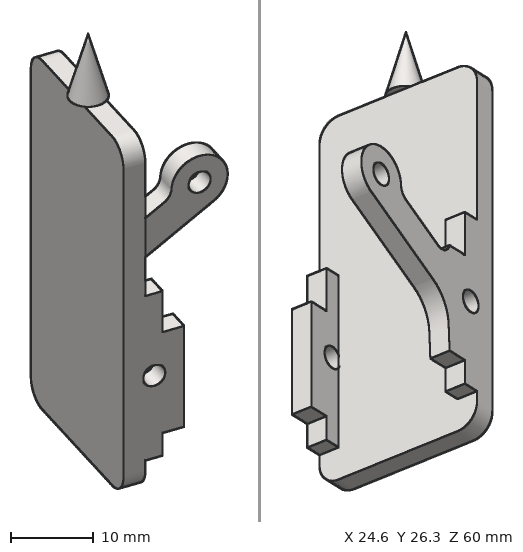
import cadquery as cq
import math

width = 24.55
plate_height = 51.0
thickness = 3.0
corner_radius = 3.0
plate_back = thickness / 2

spike_height = 60.0 - plate_height
spike_radius = 2.5

low_step_y = 3.85
high_step_y = 6.8
low_step_bottom = 4.5
low_step_top = 28.55
high_step_bottom = 7.8
high_step_top = 22.55
hole_radius = 1.5
pivot_y = 2.7
pivot_z = 16.55

arm_angle = math.radians(30)
eye_radius = 3.85
eye_y = 23.8 - eye_radius
eye_z = 26.6
upper_edge_offset = 1.15
eye_fillet = 2.0
notch_radius = 1.5
elbow_radius = 6.0
rear_edge_lean = math.radians(3)

slope = math.tan(arm_angle)


def arm_edge_z(y, offset):
    """Height at y of a line along the arm, offset upwards from the eye centre."""
    return eye_z + (y - eye_y) * slope + offset / math.cos(arm_angle)


def side_plate(outline, x_start):
    """Extrude a closed YZ outline by the sheet thickness towards +X."""
    return outline.close().extrude(thickness).translate((x_start, 0, 0))


def make_plate():
    plate = cq.Workplane("XY").box(width, thickness, plate_height, centered=(True, True, False))
    return plate.edges("|Y").fillet(corner_radius)


def make_spike():
    cone = cq.Solid.makeCone(spike_radius, 0, spike_height, pnt=cq.Vector(0, 0, plate_height))
    return cq.Workplane(obj=cone)


def make_cheek(x_start):
    outline = cq.Workplane("YZ").polyline([
        (plate_back, low_step_bottom),
        (low_step_y, low_step_bottom),
        (low_step_y, high_step_bottom),
        (high_step_y, high_step_bottom),
        (high_step_y, high_step_top),
        (low_step_y, high_step_top),
        (low_step_y, low_step_top),
        (plate_back, low_step_top),
    ])
    return side_plate(outline, x_start)


def make_hole(x_start, y, z):
    """Cutter for a hole through one sheet thickness along X."""
    hole = cq.Workplane("YZ").center(y, z).circle(hole_radius).extrude(thickness)
    return hole.translate((x_start, 0, 0))


def make_arm(x_start):
    lean = math.tan(rear_edge_lean)
    lower_at_step = arm_edge_z(high_step_y, -eye_radius)
    elbow_y = high_step_y + (lower_at_step - high_step_bottom) * lean / (1 - slope * lean)
    elbow_z = arm_edge_z(elbow_y, -eye_radius)

    notch_y = high_step_y + notch_radius
    notch_z = arm_edge_z(notch_y, upper_edge_offset + notch_radius)
    notch_start = (
        notch_y + notch_radius * math.sin(arm_angle),
        notch_z - notch_radius * math.cos(arm_angle),
    )
    notch_end_y = notch_y - math.sqrt(notch_radius**2 - (notch_z - high_step_top)**2)

    tangent_y = eye_y + eye_radius * math.sin(arm_angle)
    tangent_z = eye_z - eye_radius * math.cos(arm_angle)
    edge_run = math.sqrt(eye_radius**2 - upper_edge_offset**2)
    joint_y = eye_y - edge_run * math.cos(arm_angle) - upper_edge_offset * math.sin(arm_angle)
    joint_z = arm_edge_z(joint_y, upper_edge_offset)
    eye_back = (eye_y + eye_radius * math.sin(arm_angle), eye_z + eye_radius * math.cos(arm_angle))

    outline = (
        cq.Workplane("YZ")
        .moveTo(low_step_y, high_step_bottom)
        .lineTo(high_step_y, high_step_bottom)
        .lineTo(elbow_y, elbow_z)
        .lineTo(tangent_y, tangent_z)
        .threePointArc(eye_back, (joint_y, joint_z))
        .lineTo(*notch_start)
        .threePointArc((notch_y, notch_z - notch_radius), (notch_end_y, high_step_top))
        .lineTo(low_step_y, high_step_top)
    )
    arm = side_plate(outline, x_start)
    middle_x = x_start + thickness / 2
    arm = arm.edges(cq.NearestToPointSelector((middle_x, elbow_y, elbow_z))).fillet(elbow_radius)
    return arm.edges(cq.NearestToPointSelector((middle_x, joint_y, joint_z))).fillet(eye_fillet)


left_x = -width / 2
right_x = width / 2 - thickness

result = make_plate().union(make_spike())
for cheek_x in (left_x, right_x):
    result = result.union(make_cheek(cheek_x))
result = result.union(make_arm(left_x))

for cheek_x in (left_x, right_x):
    result = result.cut(make_hole(cheek_x, pivot_y, pivot_z))
result = result.cut(make_hole(left_x, eye_y, eye_z))